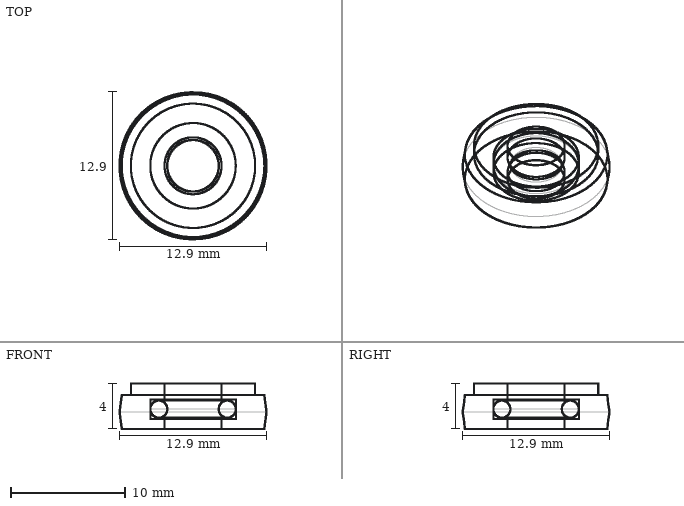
import cadquery as cq

ridge_radius = 12.9 / 2
taper_inset = 0.2
taper_end_radius = ridge_radius - taper_inset
step_radius = 10.9 / 2
body_height = 3.0
step_height = 1.0
total_height = body_height + step_height
ridge_height = body_height / 2

bore_radius = 2.5
ring_inner_radius = 2.25
ring_section_radius = 0.75
ring_height = 1.75
ring_center_radius = ring_inner_radius + ring_section_radius
ring_outer_radius = ring_center_radius + ring_section_radius

groove_width = 1.7
groove_bottom = ring_height - groove_width / 2
groove_top = ring_height + groove_width / 2
groove_radius = ring_outer_radius


def revolve_about_z(profile):
    """Turn a closed half-section (radius, height) into a solid around Z."""
    return profile.revolve(360, (0, 0, 0), (0, 1, 0), clean=False)


def make_housing():
    """Stepped, double-tapered housing with a grooved through bore."""
    half_section = (
        cq.Workplane("XZ")
        .moveTo(bore_radius, 0)
        .lineTo(taper_end_radius, 0)
        .lineTo(ridge_radius, ridge_height)
        .lineTo(taper_end_radius, body_height)
        .lineTo(step_radius, body_height)
        .lineTo(step_radius, total_height)
        .lineTo(bore_radius, total_height)
        .lineTo(bore_radius, groove_top)
        .lineTo(groove_radius, groove_top)
        .lineTo(groove_radius, groove_bottom)
        .lineTo(bore_radius, groove_bottom)
        .close()
    )
    return revolve_about_z(half_section)


def make_seal_ring():
    """Round-section ring that stands slightly proud of the bore wall."""
    section_top = (ring_center_radius, ring_height + ring_section_radius)
    section_bottom = (ring_center_radius, ring_height - ring_section_radius)
    inner_point = (ring_inner_radius, ring_height)
    outer_point = (ring_outer_radius, ring_height)
    section = (
        cq.Workplane("XZ")
        .moveTo(*inner_point)
        .threePointArc(section_top, outer_point)
        .threePointArc(section_bottom, inner_point)
        .close()
    )
    return revolve_about_z(section)


housing = make_housing()
seal_ring = make_seal_ring()

result = cq.Compound.makeCompound([housing.val(), seal_ring.val()])